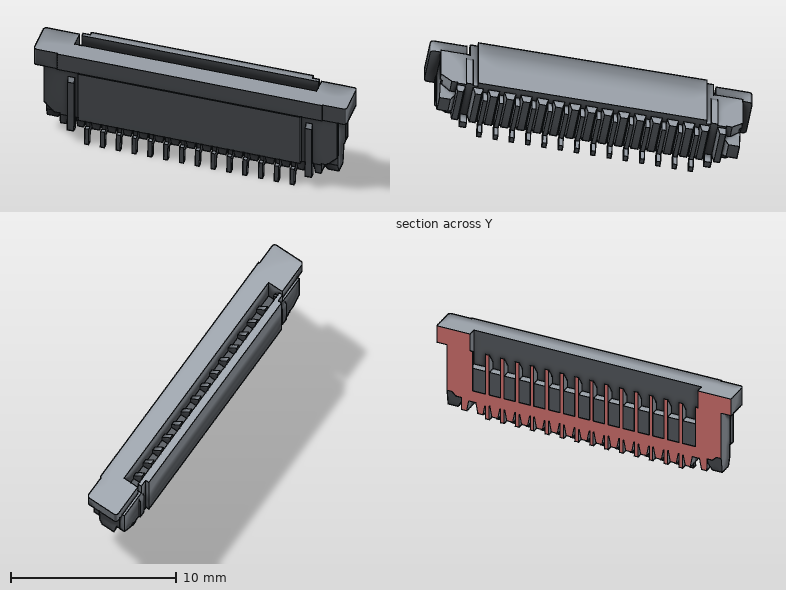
import cadquery as cq


total_length = 19.8
total_depth = 2.7
total_height = 6.5

contact_count = 14
contact_row_length = 13.0
pitch = contact_row_length / (contact_count - 1)
contact_width = 0.25

flange_height = 1.19
flange_front = 0.14
flange_back = 2.32
flange_corner_radius = 0.2
flange_pad_length = 16.8
flange_pad_front = 0.07

body_length = 18.55
body_front = 0.24
body_back = 2.45
body_bottom = -4.75
end_bottom = -4.65
end_chamfer = 0.65
panel_length = 14.05

mouth_length = 15.3
mouth_front = 1.3
mouth_ledge_depth = 2.38
slot_length = 14.97
slot_front = 1.8
slot_back = 2.22
slot_depth = 3.96

leg_outer = 9.23
leg_inner = 8.28
leg_front = 0.6
leg_back = 2.1
leg_step_back = 1.85
leg_step_z = -4.14
leg_taper_z = -4.83
leg_bottom = -5.43
leg_tip_front = 0.8
leg_tip_back = 1.65
leg_cut_width = 0.28
leg_cut_height = 0.5

tooth_front = 0.34
tooth_back = 2.34
tooth_bottom = -5.48
tooth_top_gap = 0.02
tooth_tip_gap = 0.15
leg_tooth_bevel_width = 0.04
leg_tooth_bevel_height = 0.18

contact_plate_front = 0.32
contact_plate_back = 2.1
contact_plate_bottom = -5.72
foot_top = -5.35
foot_front = 0.05
foot_thickness = 0.32
contact_tip_y = 1.92
contact_tip_z = -0.99
contact_slope_height = 0.9

bar_width = 0.42
bar_centre = 7.52
bar_top = -1.7
bar_taper = 0.32
bar_front = 0.07
bar_bend = -4.71
bar_back = 2.55
bar_bottom = -5.66
bar_thickness = 0.35


def centred_block(length, y_front, y_back, z_bottom, z_top):
    """Block centred on X = 0 between the given Y and Z limits."""
    size = (length, y_back - y_front, z_top - z_bottom)
    block = cq.Workplane("XY").box(*size, centered=(True, False, False))
    return block.translate((0, y_front, z_bottom))


def side_profile(points, x_start, width):
    """(Y, Z) outline extruded along +X from x_start."""
    outline = cq.Workplane("YZ", origin=(x_start, 0, 0)).polyline(points).close()
    return outline.extrude(width)


def front_profile(points, y_front, y_back):
    """(X, Z) outline extruded along +Y between two Y values."""
    outline = cq.Workplane("XZ", origin=(0, y_front, 0)).polyline(points).close()
    return outline.extrude(y_front - y_back)


def mirrored_pair(solid):
    """The solid and its mirror image at the other end of the part."""
    return solid.union(solid.mirror("YZ"))


def make_flange():
    flange = centred_block(total_length, flange_front, flange_back, -flange_height, 0)
    flange = flange.edges("|Z").fillet(flange_corner_radius)
    pad = centred_block(flange_pad_length, flange_pad_front, mouth_front, -flange_height, 0)
    notch = centred_block(mouth_length, mouth_front, total_depth, -flange_height, 0)
    return flange.union(pad).cut(notch)


def make_body():
    half = body_length / 2
    outline = [
        (-half, -flange_height),
        (-half, end_bottom + end_chamfer),
        (-half + end_chamfer, end_bottom),
        (-leg_inner, end_bottom),
        (-leg_inner, body_bottom),
        (leg_inner, body_bottom),
        (leg_inner, end_bottom),
        (half - end_chamfer, end_bottom),
        (half, end_bottom + end_chamfer),
        (half, -flange_height),
    ]
    body = front_profile(outline, body_front, body_back)
    rear_wall = centred_block(slot_length, slot_back, body_back, -flange_height, 0)
    panel = centred_block(panel_length, 0, total_depth, body_bottom, -flange_height)
    rear_panel = centred_block(panel_length, slot_back, total_depth, -flange_height, 0)
    end_band = centred_block(body_length, leg_front, leg_back, body_bottom, -flange_height)
    core = centred_block(2 * leg_outer, leg_front, leg_back, body_bottom, -flange_height)
    recesses = end_band.cut(core)
    return body.union(rear_wall).union(panel).union(rear_panel).cut(recesses)


def make_legs():
    profile = [
        (leg_front, -flange_height),
        (leg_back, -flange_height),
        (leg_back, leg_step_z),
        (leg_step_back, leg_step_z),
        (leg_tip_back, leg_bottom),
        (leg_tip_front, leg_bottom),
        (leg_front, leg_taper_z),
    ]
    leg = side_profile(profile, -leg_outer, leg_outer - leg_inner)
    corner_cut = [
        (-leg_inner, leg_bottom),
        (-leg_inner - leg_cut_width, leg_bottom),
        (-leg_inner, leg_bottom + leg_cut_height),
    ]
    leg = leg.cut(front_profile(corner_cut, leg_front, leg_back))
    return mirrored_pair(leg)


def make_mouth():
    ledge = centred_block(mouth_length, mouth_front, slot_front, -mouth_ledge_depth, 0)
    slot = centred_block(slot_length, slot_front, slot_back, -slot_depth, 0)
    return ledge.union(slot)


def make_tooth(left_limit, right_limit):
    """Tapered tooth filling the space between two neighbouring contacts or bars."""
    outline = [
        (left_limit + tooth_top_gap, body_bottom),
        (left_limit + tooth_tip_gap, tooth_bottom),
        (right_limit - tooth_tip_gap, tooth_bottom),
        (right_limit - tooth_top_gap, body_bottom),
    ]
    return front_profile(outline, tooth_front, tooth_back)


def make_leg_tooth():
    """Tooth between leg and bar: upright on the leg side, tapered on the bar side."""
    bar_edge = -bar_centre - bar_width / 2
    outline = [
        (-leg_inner, body_bottom),
        (-leg_inner, tooth_bottom + leg_tooth_bevel_height),
        (-leg_inner + leg_tooth_bevel_width, tooth_bottom),
        (bar_edge - tooth_tip_gap, tooth_bottom),
        (bar_edge - tooth_top_gap, body_bottom),
    ]
    return front_profile(outline, tooth_front, tooth_back)


def make_contact(x_centre):
    x_start = x_centre - contact_width / 2
    plate_and_leg = [
        (contact_plate_front, -slot_depth),
        (contact_plate_front, foot_top),
        (foot_front, foot_top),
        (0, -total_height),
        (foot_thickness, -total_height),
        (foot_front + foot_thickness, contact_plate_bottom),
        (contact_plate_back, contact_plate_bottom),
        (contact_plate_back, -slot_depth),
    ]
    blade = [
        (mouth_front, contact_tip_z - contact_slope_height),
        (contact_tip_y, contact_tip_z),
        (contact_tip_y, -slot_depth),
        (mouth_front, -slot_depth),
    ]
    return side_profile(plate_and_leg, x_start, contact_width).union(
        side_profile(blade, x_start, contact_width)
    )


def make_bars():
    x_start = -bar_centre - bar_width / 2
    front_bar = [
        (body_front, bar_top),
        (bar_front, bar_top - bar_taper),
        (bar_front, bar_bend),
        (0, bar_bottom),
        (bar_thickness, bar_bottom),
        (bar_thickness, bar_top),
    ]
    rear_bar = [
        (body_back, bar_top),
        (bar_back, bar_top - bar_taper),
        (bar_back, body_bottom),
        (slot_back, body_bottom),
        (slot_back, bar_top),
    ]
    bars = side_profile(front_bar, x_start, bar_width)
    bars = bars.union(side_profile(rear_bar, x_start, bar_width))
    return mirrored_pair(bars)


first_contact_x = -contact_row_length / 2
first_contact_edge = first_contact_x - contact_width / 2
bar_inner_edge = -bar_centre + bar_width / 2

result = make_flange().union(make_body()).union(make_legs()).cut(make_mouth())
result = result.union(make_bars())
result = result.union(mirrored_pair(make_leg_tooth()))
result = result.union(mirrored_pair(make_tooth(bar_inner_edge, first_contact_edge)))

for index in range(contact_count):
    result = result.union(make_contact(first_contact_x + index * pitch))

for index in range(contact_count - 1):
    left_limit = first_contact_edge + contact_width + index * pitch
    right_limit = first_contact_edge + (index + 1) * pitch
    result = result.union(make_tooth(left_limit, right_limit))

result = cq.Workplane(result.solids().val())